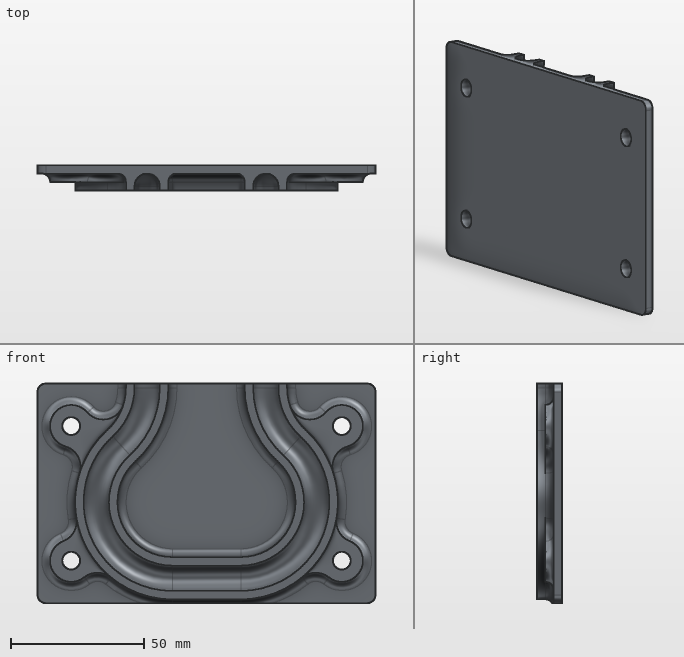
import cadquery as cq
import math

LENGTH = 127.0
HEIGHT = 82.5
PLATE_THICKNESS = 3.2
CORNER_RADIUS = 3.2
TOTAL_DEPTH = 9.5
LUG_DEPTH = 6.4

CHANNEL_WIDTH = 9.5
CHANNEL_RADIUS = CHANNEL_WIDTH / 2
WALL_THICKNESS = 3.2
WALL_OFFSET = CHANNEL_RADIUS + WALL_THICKNESS
COVE_RADIUS = 3.2

BOTTOM_HALF_LENGTH = 12.8
BEND_Z = -3.3
BEND_RADIUS = 28.6
NECK_RADIUS = 29.5
NECK_STUB = 1.5

BOSS_X = 50.8
BOSS_Z = 25.3
BOSS_DIAMETER = 15.9
BOSS_RADIUS = BOSS_DIAMETER / 2
HOLE_RADIUS = 3.3
BLEND_RADIUS = BOSS_RADIUS

PICK_MARGIN = 0.1

TRIM_MARGIN = 12.7

NECK_Z = HEIGHT / 2 - NECK_STUB
NECK_ANGLE = math.acos((NECK_Z - BEND_Z) / (BEND_RADIUS + NECK_RADIUS))
NECK_X = -BOTTOM_HALF_LENGTH - (BEND_RADIUS + NECK_RADIUS) * math.sin(NECK_ANGLE)
BEND_CENTER = (-BOTTOM_HALF_LENGTH, BEND_Z)
NECK_CENTER = (NECK_X, NECK_Z)
TOP_Z = HEIGHT / 2 + TRIM_MARGIN


def polar(center, radius, angle):
    """Point on a circle, with the angle measured from +X towards +Z."""
    return center[0] + radius * math.cos(angle), center[1] + radius * math.sin(angle)


def mirrored(point):
    return -point[0], point[1]


def u_path(offset):
    """Open U-shaped curve parallel to the centreline; positive offsets lie outside it."""
    bend = BEND_RADIUS + offset
    neck = NECK_RADIUS - offset
    neck_start = polar(NECK_CENTER, neck, 0)
    neck_mid = polar(NECK_CENTER, neck, -NECK_ANGLE / 2)
    neck_end = polar(NECK_CENTER, neck, NECK_ANGLE - math.pi / 2)
    bend_mid = polar(BEND_CENTER, bend, math.pi)
    bend_end = polar(BEND_CENTER, bend, -math.pi / 2)
    top = (neck_start[0], TOP_Z)
    return (
        cq.Workplane("XZ")
        .moveTo(*top)
        .lineTo(*neck_start)
        .threePointArc(neck_mid, neck_end)
        .threePointArc(bend_mid, bend_end)
        .lineTo(*mirrored(bend_end))
        .threePointArc(mirrored(bend_mid), mirrored(neck_end))
        .threePointArc(mirrored(neck_mid), mirrored(neck_start))
        .lineTo(*mirrored(top))
    )


def blend_arc(boss, wall_center, wall_radius, side):
    """Boss touch, middle and wall touch of an arc tangent to a boss and a wall.

    A negative wall radius means that the arc lies inside the wall circle.
    The side is +1 or -1 and picks the left or right of the line from boss to wall centre.
    """
    boss_reach = BOSS_RADIUS + BLEND_RADIUS
    wall_reach = abs(wall_radius + BLEND_RADIUS)
    dx = wall_center[0] - boss[0]
    dz = wall_center[1] - boss[1]
    gap = math.hypot(dx, dz)
    turn = math.acos((boss_reach**2 + gap**2 - wall_reach**2) / (2 * boss_reach * gap))
    center = polar(boss, boss_reach, math.atan2(dz, dx) + side * turn)
    to_boss = math.atan2(boss[1] - center[1], boss[0] - center[0])
    to_wall = math.atan2(wall_center[1] - center[1], wall_center[0] - center[0])
    if wall_radius < 0:
        to_wall += math.pi
    sweep = math.remainder(to_wall - to_boss, 2 * math.pi)
    angles = (to_boss, to_boss + sweep / 2, to_wall)
    return [polar(center, BLEND_RADIUS, angle) for angle in angles]


def lug(boss, upper_blend, lower_blend):
    """Boss on the left side with its blended bridge into the channel wall."""
    upper_touch, upper_mid, upper_wall = upper_blend
    lower_touch, lower_mid, lower_wall = lower_blend
    upper_angle = math.atan2(upper_touch[1] - boss[1], upper_touch[0] - boss[0])
    lower_angle = math.atan2(lower_touch[1] - boss[1], lower_touch[0] - boss[0])
    outer_mid = polar(boss, BOSS_RADIUS, (upper_angle + lower_angle) / 2 + math.pi)
    return (
        cq.Workplane("XZ")
        .moveTo(*BEND_CENTER)
        .lineTo(*upper_wall)
        .threePointArc(upper_mid, upper_touch)
        .threePointArc(outer_mid, lower_touch)
        .threePointArc(lower_mid, lower_wall)
        .close()
        .extrude(TOTAL_DEPTH)
    )


def make_lugs():
    outer_bend = BEND_RADIUS + WALL_OFFSET
    outer_neck = NECK_RADIUS - WALL_OFFSET
    upper_boss = (-BOSS_X, BOSS_Z)
    lower_boss = (-BOSS_X, -BOSS_Z)
    upper_lug = lug(
        upper_boss,
        blend_arc(upper_boss, NECK_CENTER, -outer_neck, -1),
        blend_arc(upper_boss, BEND_CENTER, outer_bend, -1),
    )
    lower_lug = lug(
        lower_boss,
        blend_arc(lower_boss, BEND_CENTER, outer_bend, 1),
        blend_arc(lower_boss, BEND_CENTER, outer_bend, -1),
    )
    left_lugs = upper_lug.union(lower_lug)
    return left_lugs.union(left_lugs.mirror("YZ"))


def make_base():
    """Oversized plate with the lug layer standing on it, coved at the foot."""
    oversize_length = LENGTH + 2 * TRIM_MARGIN
    oversize_height = HEIGHT + 2 * TRIM_MARGIN
    plate = cq.Workplane("XZ").rect(oversize_length, oversize_height).extrude(PLATE_THICKNESS)
    layer = u_path(WALL_OFFSET).close().extrude(TOTAL_DEPTH).union(make_lugs())
    foot = cq.selectors.BoxSelector(
        (-LENGTH / 2, -PLATE_THICKNESS - PICK_MARGIN, -HEIGHT / 2 - TRIM_MARGIN / 2),
        (LENGTH / 2, -PLATE_THICKNESS + PICK_MARGIN, TOP_Z - PICK_MARGIN),
    )
    coved = plate.union(layer).edges(foot).fillet(COVE_RADIUS)
    lug_slab = cq.Workplane("XZ").rect(oversize_length, oversize_height).extrude(LUG_DEPTH)
    return coved.intersect(lug_slab)


def make_pocket():
    """Recess inside the U, with a rounded floor edge."""
    pocket = (
        u_path(-WALL_OFFSET)
        .close()
        .extrude(TOTAL_DEPTH - PLATE_THICKNESS)
        .translate((0, -PLATE_THICKNESS, 0))
    )
    rim = cq.selectors.BoxSelector(
        (-LENGTH / 2, -PLATE_THICKNESS - PICK_MARGIN, -HEIGHT / 2),
        (LENGTH / 2, -PLATE_THICKNESS + PICK_MARGIN, TOP_Z - PICK_MARGIN),
    )
    return pocket.edges(rim).fillet(COVE_RADIUS)


def make_channel():
    """Round-bottomed groove along the centreline, its floor level with the plate front."""
    mid_x = NECK_CENTER[0] + NECK_RADIUS
    round_center = PLATE_THICKNESS + CHANNEL_RADIUS
    section = (
        cq.Workplane("XY", origin=(mid_x, 0, TOP_Z))
        .moveTo(-CHANNEL_RADIUS, -TOTAL_DEPTH)
        .lineTo(-CHANNEL_RADIUS, -round_center)
        .threePointArc((0, -PLATE_THICKNESS), (CHANNEL_RADIUS, -round_center))
        .lineTo(CHANNEL_RADIUS, -TOTAL_DEPTH)
        .close()
    )
    return section.sweep(u_path(0))


def make_holes():
    centers = [(x, z) for x in (-BOSS_X, BOSS_X) for z in (-BOSS_Z, BOSS_Z)]
    return cq.Workplane("XZ").pushPoints(centers).circle(HOLE_RADIUS).extrude(TOTAL_DEPTH)


def make_envelope():
    """Rounded rectangle that trims every feature to the plate outline."""
    return cq.Workplane("XZ").rect(LENGTH, HEIGHT).extrude(TOTAL_DEPTH).edges("|Y").fillet(CORNER_RADIUS)


wall = u_path(WALL_OFFSET).close().extrude(TOTAL_DEPTH)
body = make_base().union(wall)
body = body.cut(make_pocket()).cut(make_channel())
result = body.intersect(make_envelope()).cut(make_holes())